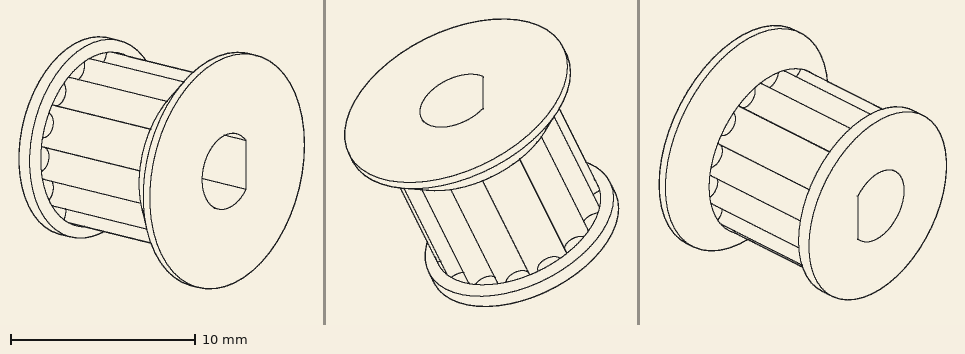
import cadquery as cq
import math

total_length = 10.17
small_rim_width = 0.77
small_flange_width = 1.0
toothed_width = 7.0
large_rim_width = 0.47
large_flange_start = small_flange_width + toothed_width
large_rim_start = total_length - large_rim_width

large_flange_radius = 6.5
small_flange_radius = 5.5
body_radius = 4.84

groove_count = 16
groove_pitch_angle = 360 / groove_count
groove_radius = 0.69
land_edge_radius = 0.1

bore_radius = 2.1
flat_offset = 1.59


def polar(radius, angle):
    return (radius * math.cos(angle), radius * math.sin(angle))


def make_blank():
    """Toothed body and both tapered flanges, turned about the X axis."""
    return (
        cq.Workplane("XY")
        .moveTo(0, 0)
        .lineTo(0, small_flange_radius)
        .lineTo(small_rim_width, small_flange_radius)
        .lineTo(small_flange_width, body_radius)
        .lineTo(large_flange_start, body_radius)
        .lineTo(large_rim_start, large_flange_radius)
        .lineTo(total_length, large_flange_radius)
        .lineTo(total_length, 0)
        .close()
        .revolve(360, (0, 0, 0), (1, 0, 0))
    )


def make_groove():
    """Round groove facing +Y whose mouth is rounded into the lands on both sides."""
    round_center_radius = body_radius - land_edge_radius
    center_distance = groove_radius + land_edge_radius
    half_angle = math.acos(
        (body_radius**2 + round_center_radius**2 - center_distance**2)
        / (2 * body_radius * round_center_radius)
    )
    round_y, round_z = polar(round_center_radius, half_angle)
    land_y, land_z = polar(body_radius, half_angle)

    groove_share = groove_radius / center_distance
    wall_y = body_radius + groove_share * (round_y - body_radius)
    wall_z = groove_share * round_z

    bulge_y = (land_y + wall_y) / 2 - round_y
    bulge_z = (land_z + wall_z) / 2 - round_z
    bulge_scale = land_edge_radius / math.hypot(bulge_y, bulge_z)
    middle_y = round_y + bulge_scale * bulge_y
    middle_z = round_z + bulge_scale * bulge_z

    return (
        cq.Workplane("YZ", origin=(small_flange_width, 0, 0))
        .moveTo(land_y, -land_z)
        .threePointArc((middle_y, -middle_z), (wall_y, -wall_z))
        .threePointArc((body_radius - groove_radius, 0), (wall_y, wall_z))
        .threePointArc((middle_y, middle_z), (land_y, land_z))
        .threePointArc((body_radius, 0), (land_y, -land_z))
        .close()
        .extrude(toothed_width)
    )


def make_bore():
    """Through bore with a flat on its +Y side."""
    flat_half_height = math.sqrt(bore_radius**2 - flat_offset**2)
    return (
        cq.Workplane("YZ")
        .moveTo(flat_offset, -flat_half_height)
        .lineTo(flat_offset, flat_half_height)
        .threePointArc((-bore_radius, 0), (flat_offset, -flat_half_height))
        .close()
        .extrude(total_length)
    )


result = make_blank().cut(make_bore())
groove = make_groove()
for index in range(groove_count):
    result = result.cut(groove.rotate((0, 0, 0), (1, 0, 0), index * groove_pitch_angle))